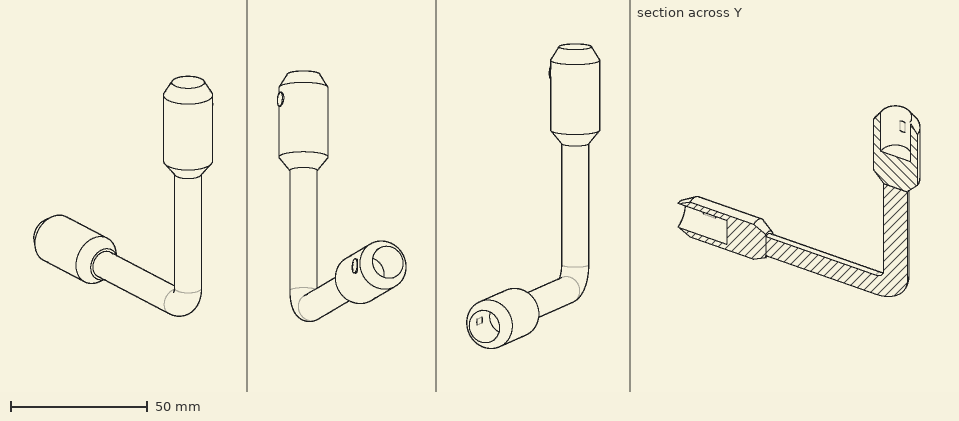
import cadquery as cq

overall = 98.0
depth = 18.2
sleeve_diameter = 18.0
sleeve_length = 36.0
cone_length = 5.0
mouth_diameter = 12.0
bore_depth = 20.0
rod_diameter = 10.0
bend_radius = 8.0
plug_diameter = 5.3
plug_from_mouth = 10.0
plug_inner_end = 5.9

sleeve_radius = sleeve_diameter / 2
mouth_distance = overall - sleeve_radius
rod_end_distance = mouth_distance - sleeve_length
plug_outer_end = depth - sleeve_radius


def make_rod():
    """Round rod with one right-angle bend, butting against both sleeves."""
    path = (
        cq.Workplane("XZ")
        .moveTo(-rod_end_distance, 0)
        .lineTo(-bend_radius, 0)
        .radiusArc((0, bend_radius), -bend_radius)
        .lineTo(0, rod_end_distance)
    )
    start = cq.Workplane("YZ", origin=(-rod_end_distance, 0, 0))
    return start.circle(rod_diameter / 2).sweep(path)


def make_sleeve(rod_side_diameter):
    """Upright sleeve around Z: open bore at the top, tapered ends, integral plug on the +Y side."""
    top = mouth_distance
    bottom = rod_end_distance
    barrel = (
        cq.Workplane("XZ")
        .moveTo(0, bottom)
        .lineTo(rod_side_diameter / 2, bottom)
        .lineTo(sleeve_radius, bottom + cone_length)
        .lineTo(sleeve_radius, top - cone_length)
        .lineTo(mouth_diameter / 2, top)
        .lineTo(0, top)
        .close()
        .revolve(360, (0, 0, 0), (0, 1, 0))
    )
    bore = cq.Workplane("XY", origin=(0, 0, top)).circle(mouth_diameter / 2).extrude(-bore_depth)
    plug = (
        cq.Workplane("XZ", origin=(0, plug_inner_end, top - plug_from_mouth))
        .circle(plug_diameter / 2)
        .extrude(plug_inner_end - plug_outer_end)
    )
    return barrel.cut(bore).union(plug)


rod = make_rod()

sleeve_variants = [
    (rod_diameter, 0),
    (mouth_diameter, -90),
]
sleeves = [
    make_sleeve(rod_side_diameter).rotate((0, 0, 0), (0, 1, 0), turn)
    for rod_side_diameter, turn in sleeve_variants
]

result = cq.Compound.makeCompound([rod.val(), *[sleeve.val() for sleeve in sleeves]])